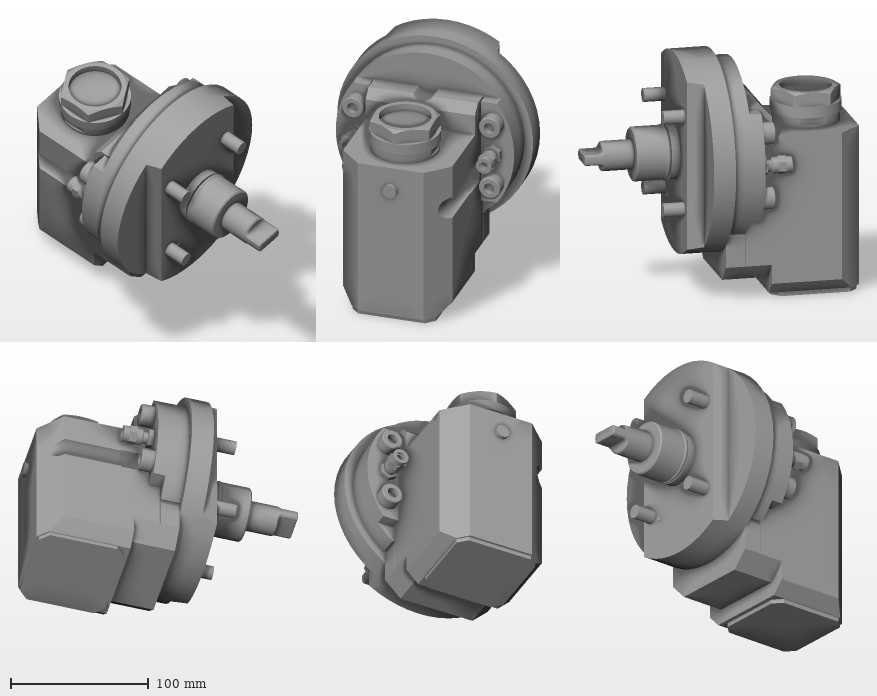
import cadquery as cq
import math


hex_half_angle = math.pi / 6

disc_diameter = 150.0
disc_full_x = 16.4
disc_end_x = 28.5
land_width_wide = 85.9
land_width_narrow = 80.2
plate_radius = 68.3
plate_x = -14.7

pad_x = -23.7
pad_half_height = 40.3
pad_inner_y = 42.7

block_width = 83.6
block_half = block_width / 2
block_left_x = -103.7
block_right_x = -34.8
block_top_z = 18.0
block_bottom_z = -102.2
corner_chamfer = 16.5
bottom_chamfer = 9.5
neck_top_z = 41.0
neck_bevel = 7.0
foot_end_x = -0.5
foot_bottom_z = -91.0
foot_chamfer = 12.5

relief_width = 0.8
relief_depth = 1.0
relief_hole_radius = 1.5

channel_z = -15.5
channel_radius = 8.4
channel_wide_radius = 9.2
channel_wide_x = -44.5
neck_groove_radius = 9.2
neck_groove_depth = 3.9

cover_width = 64.0
cover_chamfer = 6.5
cover_bottom_z = -105.5
plug_radius = 5.1
plug_length = 3.3

screw_y = 52.4
screw_z = 24.5
screw_radius = 8.2
screw_height = 9.6
screw_edge = 0.6
socket_radius = 4.0
socket_depth = 6.1
drill_tip_depth = 2.5

fitting_hex_flats = 12.0
fitting_radius = fitting_hex_flats / 2
fitting_neck_radius = 4.3
fitting_base_hex_end = 4.0
fitting_neck_end = 7.8
fitting_edge = 0.6
fitting_front_hex_start = 12.7
fitting_front_hex_end = 18.0
fitting_length = 22.7
fitting_mouth_radius = 3.3
fitting_mouth_depth = 2.0
fitting_bore_radius = 2.5
fitting_bore_depth = 6.1

pin_radius = 5.1
pin_length = 16.0
pin_y = 30.9
pin_z = 35.0
stop_radius = 2.0
stop_height = 0.8
stop_y = -22.0
stop_z = -39.7

bushing_radius = 20.0
groove_radius = 17.4
groove_start_x = 34.5
groove_end_x = 35.8
ring_end_x = 38.2
ring_radius = 20.7
bushing_end_x = 60.5
bushing_chamfer = 1.0
shaft_radius = 11.0
shaft_neck_radius = 10.5
shaft_neck_end_x = 61.4
tang_start_x = 83.8
shaft_end_x = 97.5
tang_thickness = 8.0
tang_root_radius = 2.5
tang_chamfer = 1.0
shaft_tip_chamfer = 0.6
rim_margin = 0.2

spindle_x = -70.0
nose_radius = 25.2
nose_flats = 46.0
nose_flats_z = 20.0
collar_radius = 26.2
collar_bottom_z = 25.8
hex_bottom_z = 34.0
hex_top_z = 44.2
hex_flats = 45.8
hex_bevel_angle = 30
spindle_bore_radius = 19.2
spindle_bore_depth = 5.7


def x_cylinder(radius, start_x, end_x, y=0.0, z=0.0):
    """Cylinder along X between two stations."""
    return cq.Workplane("YZ", origin=(start_x, y, z)).circle(radius).extrude(end_x - start_x)


def span_box(x_range, y_range, z_range):
    """Box given by its limits along each axis."""
    (x0, x1), (y0, y1), (z0, z1) = x_range, y_range, z_range
    return cq.Workplane("XY").box(x1 - x0, y1 - y0, z1 - z0, centered=False).translate((x0, y0, z0))


def make_flange():
    """Disc with two tapered flats, the plate and the two pads."""
    disc = x_cylinder(disc_diameter / 2, 0, disc_end_x)
    wide = land_width_wide / 2
    narrow = land_width_narrow / 2
    for side in (1, -1):
        flat_cut = (
            cq.Workplane("XY", origin=(0, 0, -disc_diameter / 2))
            .polyline([
                (disc_full_x, side * wide),
                (disc_end_x, side * narrow),
                (disc_end_x, side * disc_diameter),
                (disc_full_x, side * disc_diameter),
            ])
            .close()
            .extrude(disc_diameter)
        )
        disc = disc.cut(flat_cut)
    pad_z = (-pad_half_height, pad_half_height)
    pads = x_cylinder(plate_radius, pad_x, plate_x)
    pads = pads.intersect(span_box((pad_x, plate_x), (-plate_radius, plate_radius), pad_z))
    pads = pads.cut(span_box((pad_x, plate_x), (-pad_inner_y, pad_inner_y), pad_z))
    return disc.union(x_cylinder(plate_radius, plate_x, 0)).union(pads)


def bevelled_slab(x_range, z_range, chamfer):
    """Slab as wide as the block whose two lower X-edges are chamfered."""
    low_z, high_z = z_range
    return (
        cq.Workplane("YZ", origin=(x_range[0], 0, 0))
        .polyline([
            (-block_half, high_z),
            (block_half, high_z),
            (block_half, low_z + chamfer),
            (block_half - chamfer, low_z),
            (chamfer - block_half, low_z),
            (-block_half, low_z + chamfer),
        ])
        .close()
        .extrude(x_range[1] - x_range[0])
    )


def make_block():
    """Gearbox block with its neck and foot, before the channels are cut."""
    block = bevelled_slab((block_left_x, block_right_x), (block_bottom_z, block_top_z), bottom_chamfer)
    for side in (1, -1):
        corner_cut = (
            cq.Workplane("XY", origin=(0, 0, block_bottom_z))
            .polyline([
                (block_left_x, side * block_half),
                (block_left_x + corner_chamfer, side * block_half),
                (block_left_x, side * (block_half - corner_chamfer)),
            ])
            .close()
            .extrude(block_top_z - block_bottom_z)
        )
        block = block.cut(corner_cut)
    neck = (
        span_box((block_right_x, plate_x), (-block_half, block_half), (0, neck_top_z))
        .edges("<X and >Z")
        .chamfer(neck_bevel)
    )
    foot = bevelled_slab((block_right_x, foot_end_x), (foot_bottom_z, 0), foot_chamfer)
    return block.union(neck).union(foot)


def cut_reliefs(block):
    """Slits in the flanks of the block next to the plate."""
    slit_x = (plate_x - relief_width, plate_x)
    slit_z = (foot_bottom_z + foot_chamfer, neck_top_z)
    for inner, outer in ((block_half - relief_depth, block_half), (-block_half, relief_depth - block_half)):
        block = block.cut(span_box(slit_x, (inner, outer), slit_z))
    return block


def cut_channels(block):
    """Stepped hose channel on the -Y flank and the shallow groove on top of the neck."""
    block = block.cut(x_cylinder(channel_radius, block_left_x, channel_wide_x, -block_half, channel_z))
    block = block.cut(x_cylinder(channel_wide_radius, channel_wide_x, pad_x, -block_half, channel_z))
    groove_z = neck_top_z + neck_groove_radius - neck_groove_depth
    return block.cut(x_cylinder(neck_groove_radius, block_right_x, plate_x, 0, groove_z))


def cut_plate_reliefs(housing):
    """Small round reliefs where the plate rim meets the flanks of the foot."""
    rim_z = -math.sqrt(plate_radius**2 - block_half**2)
    for y in (block_half, -block_half):
        housing = housing.cut(x_cylinder(relief_hole_radius, plate_x, foot_end_x, y, rim_z))
    return housing


def make_cover():
    """Square bottom cover with chamfered corners."""
    return (
        cq.Workplane("XY", origin=(spindle_x, 0, cover_bottom_z))
        .rect(cover_width, cover_width)
        .extrude(block_bottom_z - cover_bottom_z)
        .edges("|Z")
        .chamfer(cover_chamfer)
    )


def make_screw(y, z):
    """Cap screw head with a drilled socket."""
    top_x = pad_x - screw_height
    head = x_cylinder(screw_radius, top_x, pad_x, y, z).faces("<X").edges().chamfer(screw_edge)
    socket = (
        cq.Workplane("XY")
        .polyline([
            (top_x, 0),
            (top_x, socket_radius),
            (top_x + socket_depth, socket_radius),
            (top_x + socket_depth + drill_tip_depth, 0),
        ])
        .close()
        .revolve(360, (0, 0, 0), (1, 0, 0))
        .translate((0, y, z))
    )
    return head.cut(socket)


def make_hex(start_x, end_x, y):
    """Hexagonal section of a fitting with corners pointing up and down."""
    corner_diameter = fitting_hex_flats / math.cos(hex_half_angle)
    return (
        cq.Workplane("YZ", origin=(start_x, y, 0))
        .transformed(rotate=(0, 0, 90))
        .polygon(6, corner_diameter)
        .extrude(end_x - start_x)
    )


def make_fitting(y):
    """Coolant fitting: base hexagon, neck, round body with a second hexagon, and a stepped bore."""
    tip_x = pad_x - fitting_length
    fitting = make_hex(pad_x - fitting_base_hex_end, pad_x, y)
    fitting = fitting.union(x_cylinder(fitting_neck_radius, pad_x - fitting_neck_end, pad_x, y))
    body = x_cylinder(fitting_radius, tip_x, pad_x - fitting_neck_end, y)
    body = body.faces(">X").edges().chamfer(fitting_edge)
    fitting = fitting.union(body)
    fitting = fitting.union(make_hex(pad_x - fitting_front_hex_end, pad_x - fitting_front_hex_start, y))
    fitting = fitting.cut(x_cylinder(fitting_mouth_radius, tip_x, tip_x + fitting_mouth_depth, y))
    return fitting.cut(x_cylinder(fitting_bore_radius, tip_x, tip_x + fitting_bore_depth, y))


def is_on_shaft_surface(edge):
    """True for an edge whose middle lies on the shaft's round surface."""
    middle = edge.positionAt(0.5)
    return math.hypot(middle.y, middle.z) > shaft_radius - rim_margin


def make_drive_shaft():
    """Bushing with a groove and sealing ring, and the shaft that ends in a flat tang."""
    shaft = (
        cq.Workplane("XY")
        .moveTo(disc_end_x, 0)
        .lineTo(disc_end_x, bushing_radius)
        .lineTo(groove_start_x, bushing_radius)
        .lineTo(groove_start_x, groove_radius)
        .lineTo(groove_end_x, groove_radius)
        .lineTo(groove_end_x, bushing_radius)
        .threePointArc(((groove_end_x + ring_end_x) / 2, ring_radius), (ring_end_x, bushing_radius))
        .lineTo(bushing_end_x - bushing_chamfer, bushing_radius)
        .lineTo(bushing_end_x, bushing_radius - bushing_chamfer)
        .lineTo(bushing_end_x, shaft_neck_radius)
        .lineTo(shaft_neck_end_x, shaft_neck_radius)
        .lineTo(shaft_neck_end_x, shaft_radius)
        .lineTo(shaft_end_x, shaft_radius)
        .lineTo(shaft_end_x, 0)
        .close()
        .revolve(360, (0, 0, 0), (1, 0, 0))
    )
    for side in (1, -1):
        step = span_box(
            (tang_start_x, shaft_end_x),
            (-shaft_radius, shaft_radius),
            (tang_thickness / 2, shaft_radius),
        )
        step = step.edges("<X and <Z").fillet(tang_root_radius)
        if side < 0:
            step = step.mirror("XY")
        shaft = shaft.cut(step)
    reach = 2 * shaft_radius
    tang_box = cq.selectors.BoxSelector(
        (tang_start_x - rim_margin, -reach, -reach),
        (shaft_end_x - rim_margin, reach, reach),
    )
    shaft = shaft.edges(tang_box).filter(is_on_shaft_surface).chamfer(tang_chamfer)
    return shaft.faces(">X").edges().chamfer(shaft_tip_chamfer)


def make_housing():
    """Everything that does not turn with the tool, as one solid."""
    block = cut_channels(cut_reliefs(make_block()))
    housing = cut_plate_reliefs(make_flange().union(block))
    housing = housing.union(make_cover())
    housing = housing.union(x_cylinder(plug_radius, block_left_x - plug_length, block_left_x))
    housing = housing.union(make_drive_shaft())
    for y in (screw_y, -screw_y):
        housing = housing.union(make_fitting(y))
        for z in (screw_z, -screw_z):
            housing = housing.union(make_screw(y, z))
    for y in (pin_y, -pin_y):
        for z in (pin_z, -pin_z):
            housing = housing.union(x_cylinder(pin_radius, disc_end_x, disc_end_x + pin_length, y, z))
    return housing.union(x_cylinder(stop_radius, disc_end_x, disc_end_x + stop_height, stop_y, stop_z))


def z_cylinder(radius, low_z, high_z):
    """Cylinder on the tool spindle axis."""
    return cq.Workplane("XY", origin=(spindle_x, 0, low_z)).circle(radius).extrude(high_z - low_z)


def make_spindle():
    """Spindle nose with two wrench flats, the collar and the bevelled hexagon with its recess."""
    nose = z_cylinder(nose_radius, block_top_z, collar_bottom_z)
    flat_x = (spindle_x - nose_radius, spindle_x + nose_radius)
    for inner, outer in ((nose_flats / 2, nose_radius), (-nose_radius, -nose_flats / 2)):
        nose = nose.cut(span_box(flat_x, (inner, outer), (nose_flats_z, collar_bottom_z)))

    corner_diameter = hex_flats / math.cos(hex_half_angle)
    hexagon = (
        cq.Workplane("XY", origin=(spindle_x, 0, hex_bottom_z))
        .polygon(6, corner_diameter)
        .extrude(hex_top_z - hex_bottom_z)
    )
    bevel_width = collar_radius - hex_flats / 2
    bevel_height = bevel_width * math.tan(math.radians(hex_bevel_angle))
    envelope = (
        z_cylinder(collar_radius, hex_bottom_z, hex_top_z)
        .faces(">Z")
        .edges()
        .chamfer(bevel_height, bevel_width)
    )
    collar = z_cylinder(collar_radius, collar_bottom_z, hex_bottom_z)
    recess = z_cylinder(spindle_bore_radius, hex_top_z - spindle_bore_depth, hex_top_z)
    return nose.union(collar).union(hexagon.intersect(envelope)).cut(recess)


housing = make_housing()
spindle = make_spindle()

result = cq.Compound.makeCompound([housing.solids().val(), spindle.solids().val()])